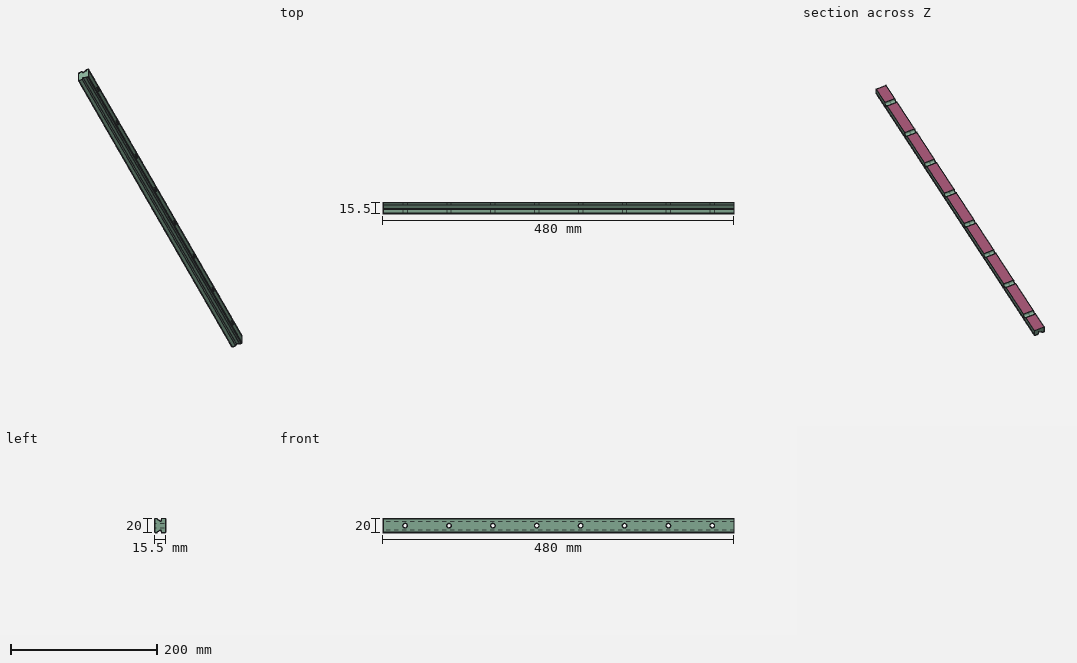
import math

import cadquery as cq

length = 480.0
width = 15.5
height = 20.0
edge_chamfer = 1.0

lip_y = 5.2
lip_radius = 1.2
floor_angle = math.radians(30.5)
root_y = -0.8
front_wall_y = -2.0

hole_diameter = 6.0
hole_count = 8
hole_pitch = length / hole_count


def make_body():
    """Rectangular bar with its four long edges chamfered."""
    return cq.Workplane("XY").box(length, width, height).edges("|X").chamfer(edge_chamfer)


def make_top_groove():
    """Cutter for the groove in the top face."""
    top_z = height / 2
    floor_start_y = lip_y - lip_radius
    floor_start_z = top_z - lip_radius
    root_z = floor_start_z - (floor_start_y - root_y) * math.tan(floor_angle)
    lip_mid_offset = lip_radius * math.sqrt(0.5)
    return (
        cq.Workplane("YZ")
        .moveTo(lip_y, top_z)
        .threePointArc(
            (lip_y - lip_mid_offset, floor_start_z + lip_mid_offset),
            (floor_start_y, floor_start_z),
        )
        .lineTo(root_y, root_z)
        .lineTo(front_wall_y, top_z)
        .close()
        .extrude(length / 2, both=True)
    )


def make_holes():
    """Evenly pitched hole cutters, the end ones half a pitch in from the rail ends."""
    return (
        cq.Workplane("XZ")
        .rarray(hole_pitch, height, hole_count, 1)
        .circle(hole_diameter / 2)
        .extrude(width, both=True)
    )


top_groove = make_top_groove()
bottom_groove = top_groove.mirror("XY")
result = make_body().cut(top_groove).cut(bottom_groove).cut(make_holes())